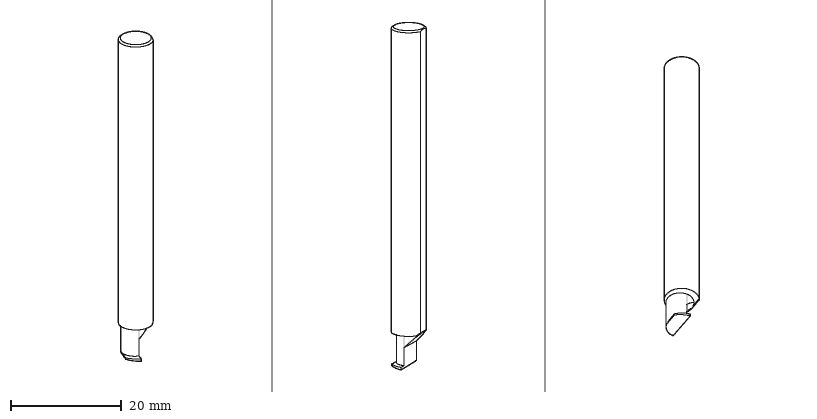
import cadquery as cq
import math

total_length = 63.5
shank_diameter = 6.35
shank_radius = shank_diameter / 2
depth_over_flat = 6.1
flat_y = depth_over_flat - shank_radius
end_chamfer_radial = 0.38
end_chamfer_height = 0.3

neck_length = 6.4
neck_radius = 2.53
neck_center_x = neck_radius - shank_radius

rake_runout_z = 3.9
rake_slope_angle = 45.0

tooth_height = 0.5
tooth_heel_x = 1.8
tooth_flank_radius = 4.5
end_relief_angle = 2.0
side_relief_angle = 3.0


def make_shank():
    shank_length = total_length - neck_length
    shank = cq.Workplane("XY").workplane(offset=neck_length).circle(shank_radius).extrude(shank_length)
    shank = shank.faces(">Z").chamfer(end_chamfer_height, end_chamfer_radial)
    beyond_flat = (
        cq.Workplane("XY")
        .box(shank_diameter, shank_diameter, total_length, centered=(True, False, False))
        .translate((0, flat_y, 0))
    )
    return shank.cut(beyond_flat)


def make_neck():
    return cq.Workplane("XY").center(neck_center_x, 0).circle(neck_radius).extrude(neck_length)


def make_tooth():
    """Plate that leaves the neck tangentially and ends in the curved, relieved flank."""
    return (
        cq.Workplane("XY")
        .moveTo(neck_center_x, 0)
        .lineTo(neck_center_x, -neck_radius)
        .lineTo(tooth_heel_x, -neck_radius)
        .radiusArc((shank_radius, 0), -tooth_flank_radius)
        .close()
        .extrude(tooth_height)
    )


def make_rake_cut():
    """Space in front of the rake face, closed by the sloping run-out."""
    slope_depth = shank_diameter
    slope_rise = slope_depth * math.tan(math.radians(rake_slope_angle))
    return (
        cq.Workplane("YZ")
        .polyline([
            (0, -neck_length),
            (0, rake_runout_z),
            (slope_depth, rake_runout_z + slope_rise),
            (slope_depth, -neck_length),
        ])
        .close()
        .extrude(shank_diameter, both=True)
    )


def make_end_relief_cut():
    """Block whose top face passes through the tooth tip and rises towards -X and -Y."""
    block_side = 4 * shank_diameter
    block_depth = shank_diameter
    return (
        cq.Workplane("XY")
        .box(block_side, block_side, block_depth, centered=(True, True, False))
        .translate((0, 0, -block_depth))
        .rotate((0, 0, 0), (0, 1, 0), end_relief_angle)
        .rotate((0, 0, 0), (1, 0, 0), -side_relief_angle)
        .translate((shank_radius, 0, 0))
    )


result = (
    make_shank()
    .union(make_neck())
    .union(make_tooth())
    .cut(make_rake_cut())
    .cut(make_end_relief_cut())
)